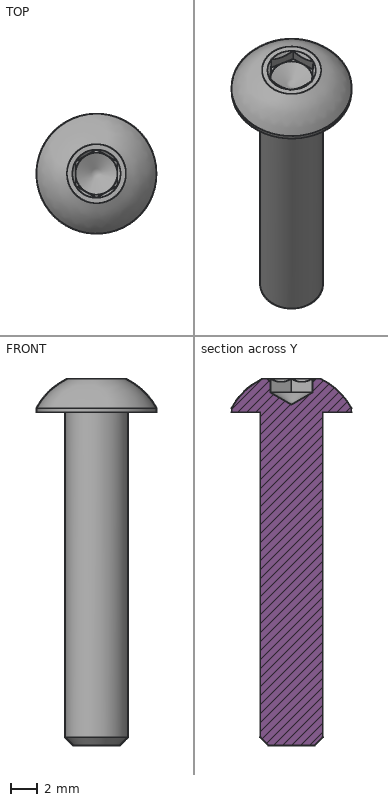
import cadquery as cq
import math

total_length = 27.97
head_diameter = 9.17
head_height = 2.57
shank_diameter = 4.85

rim_height = 0.34
head_flat_diameter = 4.5
dome_bulge = 0.25

tip_chamfer = 0.65

socket_across_flats = 3.2
socket_depth = 1.03
floor_cone_angle = 120.0
mouth_cone_angle = 90.0

head_radius = head_diameter / 2
head_flat_radius = head_flat_diameter / 2
shank_radius = shank_diameter / 2
socket_inner_radius = socket_across_flats / 2
socket_across_corners = socket_across_flats / math.cos(math.pi / 6)
mouth_radius = socket_across_corners / 2
head_base_z = total_length - head_height
rim_top_z = head_base_z + rim_height
socket_floor_z = total_length - socket_depth


def make_body():
    """Revolve the half section of the shank and head about Z."""
    chord_r = head_flat_radius - head_radius
    chord_z = total_length - rim_top_z
    chord_length = math.hypot(chord_r, chord_z)
    dome_middle = (
        (head_radius + head_flat_radius) / 2 + dome_bulge * chord_z / chord_length,
        (rim_top_z + total_length) / 2 - dome_bulge * chord_r / chord_length,
    )
    return (
        cq.Workplane("XZ")
        .lineTo(shank_radius - tip_chamfer, 0)
        .lineTo(shank_radius, tip_chamfer)
        .lineTo(shank_radius, head_base_z)
        .lineTo(head_radius, head_base_z)
        .lineTo(head_radius, rim_top_z)
        .threePointArc(dome_middle, (head_flat_radius, total_length))
        .lineTo(0, total_length)
        .close()
        .revolve(360, (0, 0), (0, 1))
    )


def make_cone(base_radius, base_z, included_angle):
    """Make a cone pointing down from a circle at base_z."""
    height = base_radius / math.tan(math.radians(included_angle / 2))
    return (
        cq.Workplane("XZ")
        .moveTo(0, base_z)
        .lineTo(base_radius, base_z)
        .lineTo(0, base_z - height)
        .close()
        .revolve(360, (0, 0), (0, 1))
    )


def make_hexagon():
    """Make the hexagonal prism, with two corners on the Y direction."""
    return (
        cq.Workplane("XY", origin=(0, 0, socket_floor_z))
        .transformed(rotate=(0, 0, 90))
        .polygon(6, socket_across_corners)
        .extrude(socket_depth)
    )


floor_cone = make_cone(socket_inner_radius, socket_floor_z, floor_cone_angle)
mouth_cone = make_cone(mouth_radius, total_length, mouth_cone_angle)

result = make_body().cut(make_hexagon()).cut(floor_cone).cut(mouth_cone)